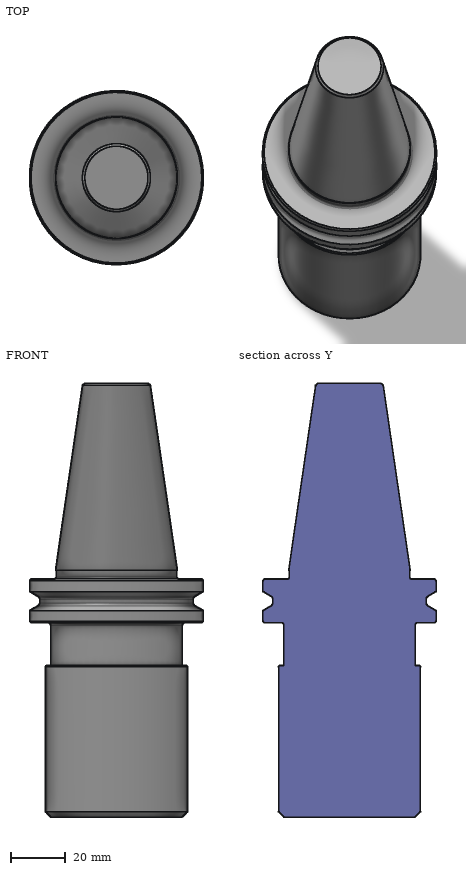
import cadquery as cq
import math

total_length = 158.2
gauge_height = 90.0
flange_top = 86.9
flange_bottom = 70.9
body_top = 55.4

gauge_radius = 44.5 / 2
taper_ratio = 7 / 24
tail_chamfer = 0.8
relief_radius = 22.0
relief_fillet = 0.8

flange_radius = 63.5 / 2
flange_chamfer = 0.6
groove_centre = 78.8
groove_width = 7.0
groove_floor_radius = 28.0
groove_side_angle = 30.0
groove_fillet = 1.1

neck_radius = 24.0
neck_fillet = 1.0
body_radius = 26.0
body_edge_chamfer = 0.5
nose_chamfer = 2.0

SELECT_TOLERANCE = 0.02


def cylinder(radius, bottom, top):
    return cq.Workplane("XY").workplane(offset=bottom).circle(radius).extrude(top - bottom)


def circle_edge(radius, height):
    """Selector for the circular edge of the given radius at the given height."""
    reach = radius + SELECT_TOLERANCE
    return cq.selectors.BoxSelector(
        (-reach, -reach, height - SELECT_TOLERANCE),
        (reach, reach, height + SELECT_TOLERANCE),
        boundingbox=True,
    )


def make_taper():
    tail_radius = gauge_radius - (total_length - gauge_height) * taper_ratio / 2
    profile = [
        (0, gauge_height),
        (gauge_radius, gauge_height),
        (tail_radius, total_length),
        (0, total_length),
    ]
    taper = cq.Workplane("XZ").polyline(profile).close().revolve(360, (0, 0), (0, 1))
    return taper.faces(">Z").edges().chamfer(tail_chamfer)


def make_flange():
    flange = cylinder(flange_radius, flange_bottom, flange_top)
    flange = flange.faces("<Z or >Z").edges().chamfer(flange_chamfer)

    side_rise = (flange_radius - groove_floor_radius) * math.tan(math.radians(groove_side_angle))
    half_mouth = groove_width / 2
    half_floor = half_mouth - side_rise
    profile = [
        (flange_radius, groove_centre - half_mouth),
        (groove_floor_radius, groove_centre - half_floor),
        (groove_floor_radius, groove_centre + half_floor),
        (flange_radius, groove_centre + half_mouth),
    ]
    groove = cq.Workplane("XZ").polyline(profile).close().revolve(360, (0, 0), (0, 1))
    flange = flange.cut(groove)
    for height in (groove_centre - half_floor, groove_centre + half_floor):
        flange = flange.edges(circle_edge(groove_floor_radius, height)).fillet(groove_fillet)
    return flange


def make_body():
    body = cylinder(body_radius, 0, body_top)
    body = body.faces("<Z").edges().chamfer(nose_chamfer)
    return body.faces(">Z").edges().chamfer(body_edge_chamfer)


neck = cylinder(neck_radius, body_top, flange_bottom)
relief = cylinder(relief_radius, flange_top, gauge_height)

result = make_body().union(neck).union(make_flange()).union(relief).union(make_taper())
result = result.edges(circle_edge(neck_radius, flange_bottom)).fillet(neck_fillet)
result = result.edges(circle_edge(relief_radius, flange_top)).fillet(relief_fillet)